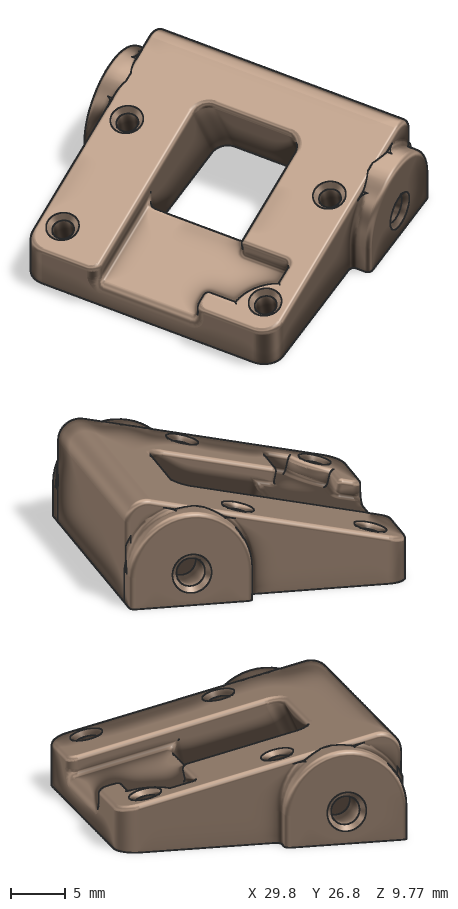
import cadquery as cq
import math

body_width = 25.92
body_length = 26.78
body_height = 9.77
slope_angle = 13.0
back_round = 2.0
corner_round = 2.0
edge_round = 0.5

overall_width = 29.8
lug_radius = 5.78
lug_axis_z = 3.05
lug_axis_y = body_length - lug_radius
lug_overlap = 0.45
pivot_radius = 1.35
pivot_chamfer = 0.5
pivot_depth = 4.0

opening_left = -5.27
opening_right = 5.27
window_front = 9.47
window_back = 20.5
window_front_corner = 1.0
window_back_corner = 1.5
back_wall_lean = 12.0
pocket_depth = 1.75
pocket_corner = 0.5
notch_right = 10.52
notch_back = 8.05
tab_left = 4.77
tab_back = 2.32
web_radius = 4.62
web_center_x = 12.33
web_center_y = 1.43
mouth_round = 1.0

screw_x = 10.5
screw_front = 3.2
screw_back = 16.0
screw_radius = 1.0
countersink_radius = 1.52

slope = math.radians(slope_angle)
half_width = body_width / 2
round_center_y = body_length - back_round
round_center_z = body_height - back_round
tangent_y = round_center_y - back_round * math.sin(slope)
tangent_z = round_center_z + back_round * math.cos(slope)
front_height = tangent_z - tangent_y * math.tan(slope)
through = 2 * body_height
slope_plane = cq.Plane(
    origin=(0, 0, front_height),
    xDir=(1, 0, 0),
    normal=(0, -math.sin(slope), math.cos(slope)),
)


def side_prism(width):
    """Side outline of the wedge, extruded across a width centred on X = 0."""
    middle_angle = (math.pi / 2 + slope) / 2
    return (
        cq.Workplane("YZ", origin=(-width / 2, 0, 0))
        .lineTo(body_length, 0)
        .lineTo(body_length, round_center_z)
        .threePointArc(
            (
                round_center_y + back_round * math.cos(middle_angle),
                round_center_z + back_round * math.sin(middle_angle),
            ),
            (tangent_y, tangent_z),
        )
        .lineTo(0, front_height)
        .close()
        .extrude(width)
    )


def slope_cylinder(x, y, radius, top, bottom):
    """Cylinder standing square to the sloped face."""
    return cq.Workplane(slope_plane).workplane(offset=bottom).center(x, y).circle(radius).extrude(top - bottom)


def window_tool():
    """Through window; its front wall is square to the sloped face, its back wall leans away below."""
    lean = math.tan(math.radians(back_wall_lean))
    profile_plane = cq.Plane(
        origin=slope_plane.toWorldCoords((opening_left, 0, 0)),
        xDir=slope_plane.yDir,
        normal=(1, 0, 0),
    )
    tool = (
        cq.Workplane(profile_plane)
        .moveTo(window_front, body_height)
        .lineTo(window_back - body_height * lean, body_height)
        .lineTo(window_back + through * lean, -through)
        .lineTo(window_front, -through)
        .close()
        .extrude(opening_right - opening_left)
    )
    upright = cq.selectors.ParallelDirSelector(slope_plane.zDir)
    tool = tool.edges(upright).fillet(window_front_corner)
    leaning = cq.selectors.ParallelDirSelector(slope_plane.zDir - slope_plane.yDir * lean)
    return tool.edges(leaning).fillet(window_back_corner)


def pocket_tool():
    """Recess open to the front, with a side notch that curves around the front right screw hole."""
    top = body_height
    bottom = -pocket_depth
    window_middle = (window_front + window_back) / 2
    tool = (
        cq.Workplane(slope_plane)
        .workplane(offset=bottom)
        .moveTo(opening_left, -body_height)
        .lineTo(tab_left, -body_height)
        .lineTo(tab_left, tab_back)
        .lineTo(notch_right, tab_back)
        .lineTo(notch_right, notch_back)
        .lineTo(opening_right, notch_back)
        .lineTo(opening_right, window_middle)
        .lineTo(opening_left, window_middle)
        .close()
        .extrude(top - bottom)
    )
    tilted = cq.selectors.ParallelDirSelector(slope_plane.zDir)
    for corner in ((tab_left, tab_back), (notch_right, notch_back), (opening_right, notch_back)):
        middle = slope_plane.toWorldCoords((*corner, (top + bottom) / 2))
        tool = tool.edges(tilted).edges(cq.selectors.NearestToPointSelector(middle)).fillet(pocket_corner)
    tool = tool.cut(slope_cylinder(web_center_x, web_center_y, web_radius, top, bottom))
    return tool.faces(cq.selectors.DirectionMinMaxSelector(slope_plane.zDir, False)).edges().fillet(edge_round)


def screw_tool(x, y):
    """Through hole with a 45 degree countersink."""
    sink = countersink_radius - screw_radius
    cone = cq.Solid.makeCone(
        countersink_radius,
        screw_radius,
        sink,
        pnt=slope_plane.toWorldCoords((x, y, 0)),
        dir=slope_plane.zDir * -1,
    )
    return slope_cylinder(x, y, screw_radius, edge_round, -through).union(cq.Workplane(cone))


def round_sill(body):
    """Round the step where the pocket floor drops into the window."""
    sill = slope_plane.toWorldCoords((0, window_front, -pocket_depth))
    return body.edges(cq.selectors.NearestToPointSelector(sill)).fillet(edge_round)


def round_mouth(body):
    """Round the walls and floor of the pocket where they run out through the front face."""
    reach = mouth_round + 0.3
    mouth = cq.selectors.BoxSelector(
        (opening_left - reach, -reach, edge_round),
        (tab_left + reach, reach, front_height),
    )
    return body.faces("<Y").edges(mouth).fillet(mouth_round)


def round_rims(body):
    """Round the outer and inner edges of the sloped face, except where it meets the back round."""
    below_back_round = cq.selectors.BoxSelector(
        (-body_width, -edge_round, 0), (body_width, tangent_y - edge_round, body_height)
    )
    sloped_face = body.faces(cq.selectors.DirectionMinMaxSelector(slope_plane.zDir))
    rims = sloped_face.edges(below_back_round)
    return rims.fillet(edge_round)


def lug():
    """Arched lug on the +X side with a rounded rim and a flared root, trimmed below the body rim."""
    arch = (
        cq.Workplane("YZ", origin=(half_width - lug_overlap, 0, 0))
        .moveTo(lug_axis_y - lug_radius, 0)
        .lineTo(lug_axis_y - lug_radius, lug_axis_z)
        .threePointArc((lug_axis_y, lug_axis_z + lug_radius), (lug_axis_y + lug_radius, lug_axis_z))
        .lineTo(lug_axis_y + lug_radius, 0)
        .close()
        .extrude(overall_width / 2 - half_width + lug_overlap)
    )
    arch = arch.faces(">X").edges("not <Z").fillet(edge_round)

    wall = cq.Workplane("XY", origin=(half_width - lug_overlap / 2, lug_axis_y, 0)).box(
        lug_overlap, 3 * body_length, through
    )
    root = cq.selectors.BoxSelector(
        (half_width - 0.03, 0, 0.03), (half_width + 0.03, 2 * body_length, body_height)
    )
    flared = arch.union(wall).edges(root).fillet(edge_round).cut(wall)
    return flared.intersect(side_prism(overall_width).translate((0, 0, -edge_round))).union(arch)


def pivot_tool():
    """Blind pivot hole in the +X lug with a chamfered mouth."""
    outer_face = cq.Workplane("YZ", origin=(overall_width / 2, lug_axis_y, lug_axis_z))
    hole = outer_face.circle(pivot_radius).extrude(-pivot_depth)
    mouth = outer_face.circle(pivot_radius + pivot_chamfer).extrude(-pivot_chamfer, taper=45)
    return hole.union(mouth)


body = side_prism(body_width).edges("|Z and <Y").fillet(corner_round)
body = body.cut(window_tool())
body = body.cut(pocket_tool())
body = round_rims(round_mouth(round_sill(body)))

for x in (-screw_x, screw_x):
    for y in (screw_front, screw_back):
        body = body.cut(screw_tool(x, y))

body = body.union(lug()).union(lug().mirror("YZ"))
result = body.cut(pivot_tool()).cut(pivot_tool().mirror("YZ"))